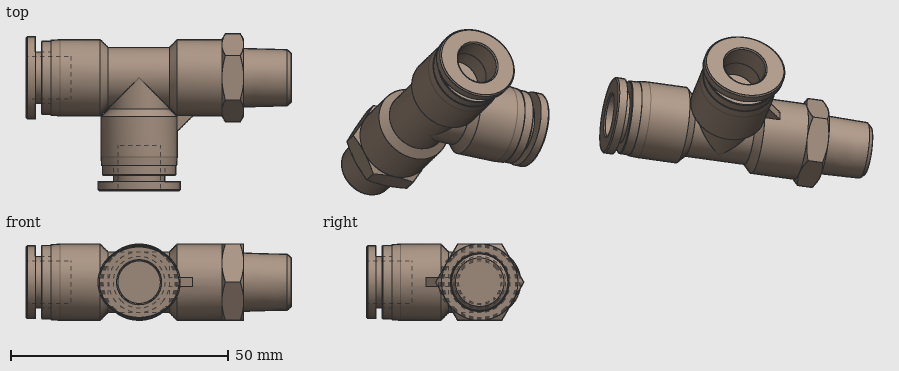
import cadquery as cq
import math

total_length = 61.1

arm_reach = 26.0
branch_x = arm_reach
pipe_d = 14.0
arm_cone_start = 7.15
arm_d = 17.6
arm_taper_start = 18.2
arm_taper_end = 20.2
arm_end = 22.5
arm_lip_d = 16.9
arm_edge_chamfer = 0.2
cone_length = (arm_d - pipe_d) / 2

hub_cone_start = 6.95
hub_end = 19.05

rib_leg = 3.55
rib_thickness = 2.1

collar_width = 18.95
collar_height = 16.8
flange_thickness = 2.15
neck_d = 11.9
bore_d = 9.8
collar_depth = 5.8
bore_depth = 10.4
collar_chamfer = 0.3

hex_across_flats = 17.6
hex_thickness = 5.0
hex_chamfer_angle = 30.0
thread_root_d = 13.5
thread_tip_d = 12.95
thread_end_d = 11.2
thread_chamfer_length = 1.0

stem_start = branch_x + hub_end
hex_end = stem_start + hex_thickness
collar_inner_end = arm_reach - collar_depth
bore_floor = arm_reach - bore_depth


def revolve_about_x(points):
    """Turn an (x, radius) outline about the X axis."""
    return cq.Workplane("XY").polyline(points).close().revolve(360, (0, 0, 0), (1, 0, 0))


def place_run(shape):
    """Turn a shape built outwards along +X so that it points to -X from the crossing."""
    return shape.rotate((0, 0, 0), (0, 0, 1), 180).translate((branch_x, 0, 0))


def place_branch(shape):
    """Turn a shape built outwards along +X so that it points to -Y from the crossing."""
    return shape.rotate((0, 0, 0), (0, 0, 1), -90).translate((branch_x, 0, 0))


def arm_outline():
    """Outline points (distance from the crossing, radius) of one push-in arm."""
    return [
        (arm_cone_start, pipe_d / 2),
        (arm_cone_start + cone_length, arm_d / 2),
        (arm_taper_start, arm_d / 2),
        (arm_taper_end, arm_lip_d / 2 + arm_edge_chamfer),
        (arm_taper_end, arm_lip_d / 2),
        (arm_end - arm_edge_chamfer, arm_lip_d / 2),
        (arm_end, arm_lip_d / 2 - arm_edge_chamfer),
        (arm_end, 0),
    ]


def make_branch():
    """Outer form of the branch, starting at the crossing and pointing to +X."""
    return revolve_about_x([(0, 0), (0, pipe_d / 2)] + arm_outline())


def make_run():
    """Outer form of the run: a push-in arm towards +X and the hub towards -X."""
    hub_outline = [
        (-hub_end, 0),
        (-hub_end, arm_d / 2),
        (-hub_cone_start - cone_length, arm_d / 2),
        (-hub_cone_start, pipe_d / 2),
    ]
    return revolve_about_x(hub_outline + arm_outline())


def make_rib():
    """Rib in the corner between branch and hub, with its inner corner on the branch axis."""
    corner = arm_d / 2
    root = corner + rib_leg
    return (
        cq.Workplane("XY")
        .polyline([(0, 0), (0, -root), (corner, -root), (root, -corner), (root, 0)])
        .close()
        .extrude(rib_thickness / 2, both=True)
        .translate((branch_x, 0, 0))
    )


def make_socket():
    """Collar neck seat followed by the blind tube bore, for an arm pointing to +X."""
    return revolve_about_x([
        (bore_floor, 0),
        (bore_floor, bore_d / 2),
        (collar_inner_end, bore_d / 2),
        (collar_inner_end, neck_d / 2),
        (arm_reach, neck_d / 2),
        (arm_reach, 0),
    ])


def make_body():
    body = place_run(make_run()).union(place_branch(make_branch())).union(make_rib())
    socket = make_socket()
    return body.cut(place_run(socket)).cut(place_branch(socket))


def make_collar():
    """Release collar with an oval flange, on an arm pointing to +X."""
    flange = (
        cq.Workplane("YZ", origin=(arm_reach - flange_thickness, 0, 0))
        .ellipse(collar_width / 2, collar_height / 2)
        .extrude(flange_thickness)
        .faces(">X").edges().chamfer(collar_chamfer)
    )
    neck = (
        cq.Workplane("YZ", origin=(collar_inner_end, 0, 0))
        .circle(neck_d / 2)
        .extrude(collar_depth - flange_thickness)
    )
    bore = revolve_about_x([
        (collar_inner_end, 0),
        (collar_inner_end, bore_d / 2),
        (arm_reach - collar_chamfer, bore_d / 2),
        (arm_reach, bore_d / 2 + collar_chamfer),
        (arm_reach, 0),
    ])
    return flange.union(neck).cut(bore)


def make_hexagon():
    """Hexagon with flats at top and bottom and conically chamfered corners."""
    corner_r = hex_across_flats / 2 / math.cos(math.pi / 6)
    flat_r = hex_across_flats / 2
    chamfer_length = (corner_r - flat_r) * math.tan(math.radians(hex_chamfer_angle))
    prism = (
        cq.Workplane("YZ", origin=(stem_start, 0, 0))
        .polygon(6, 2 * corner_r)
        .extrude(hex_thickness)
    )
    envelope = revolve_about_x([
        (stem_start, 0),
        (stem_start, flat_r),
        (stem_start + chamfer_length, corner_r),
        (hex_end - chamfer_length, corner_r),
        (hex_end, flat_r),
        (hex_end, 0),
    ])
    return prism.intersect(envelope)


def make_stem():
    """Hexagon and tapered thread as one piece, seated on the end of the hub."""
    thread = revolve_about_x([
        (stem_start, 0),
        (stem_start, thread_root_d / 2),
        (hex_end, thread_root_d / 2),
        (total_length - thread_chamfer_length, thread_tip_d / 2),
        (total_length, thread_end_d / 2),
        (total_length, 0),
    ])
    return make_hexagon().union(thread)


body = make_body()
stem = make_stem()
collars = [place(make_collar()) for place in (place_run, place_branch)]

result = cq.Compound.makeCompound([body.val(), stem.val(), *[collar.val() for collar in collars]])